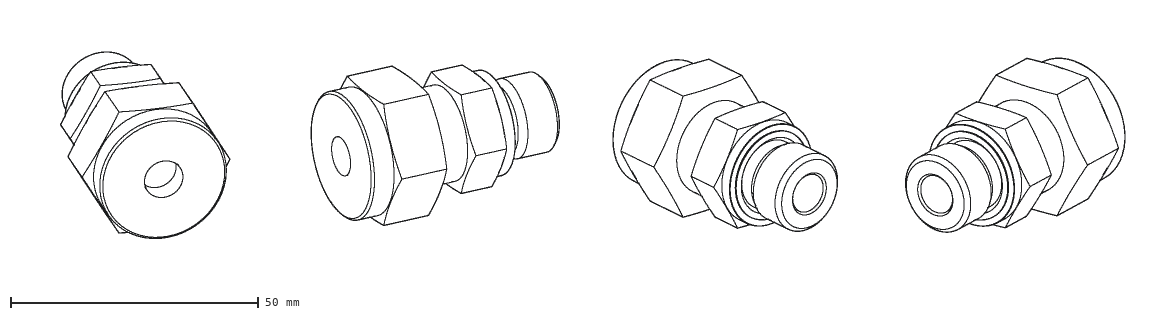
import cadquery as cq
import math


bore_radius = 4.05
bore_mouth_chamfer = 0.45

stud_radius = 8.33
stud_chamfer = 0.95
stud_length = 7.75
undercut_radius = 7.35
undercut_taper_angle = 30
undercut_taper_length = (stud_radius - undercut_radius) / math.tan(math.radians(undercut_taper_angle))

seal_face_x = 11.7
seal_face_radius = 9.5
seal_recess_depth = 0.8
collar_x = 12.0
collar_radius = 10.95
collar_edge_break = 0.1

body_hex_x = 14.5
body_hex_length = 8.0
body_hex_flats = 22.0
shank_x = body_hex_x + body_hex_length
shank_radius = 10.0

nut_end_x = 46.2
nut_x = 29.7
nut_hex_length = 11.5
nut_hex_end_x = nut_x + nut_hex_length
nut_hex_flats = 27.0
nut_rim_radius = 13.35
nut_rim_chamfer = 0.5

hex_chamfer_angle = 15


def cylinder_x(start_x, end_x, radius):
    """Solid cylinder on the X axis."""
    return cq.Workplane("YZ", origin=(start_x, 0, 0)).circle(radius).extrude(end_x - start_x)


def chamfered_hex(start_x, length, across_flats, face_radius):
    """Hexagon on the X axis with corners on +-Y, turned to a cone at both ends."""
    across_corners = across_flats / math.cos(math.pi / 6)
    corner_radius = across_corners / 2
    chamfer_depth = (corner_radius - face_radius) * math.tan(math.radians(hex_chamfer_angle))
    end_x = start_x + length
    prism = cq.Workplane("YZ", origin=(start_x, 0, 0)).polygon(6, across_corners).extrude(length)
    turned_envelope = (
        cq.Workplane("XY")
        .moveTo(start_x, 0)
        .lineTo(start_x, face_radius)
        .lineTo(start_x + chamfer_depth, corner_radius)
        .lineTo(end_x - chamfer_depth, corner_radius)
        .lineTo(end_x, face_radius)
        .lineTo(end_x, 0)
        .close()
        .revolve(360, (0, 0, 0), (1, 0, 0))
    )
    return prism.intersect(turned_envelope)


def make_body():
    """Stud, undercut, sealing collar, hexagon and shank with a through bore."""
    stud_and_collar = (
        cq.Workplane("XY")
        .lineTo(0, stud_radius - stud_chamfer)
        .lineTo(stud_chamfer, stud_radius)
        .lineTo(stud_length, stud_radius)
        .lineTo(stud_length + undercut_taper_length, undercut_radius)
        .lineTo(seal_face_x + seal_recess_depth, undercut_radius)
        .lineTo(seal_face_x, undercut_radius + seal_recess_depth)
        .lineTo(seal_face_x, seal_face_radius)
        .lineTo(collar_x, seal_face_radius)
        .lineTo(collar_x, collar_radius - collar_edge_break)
        .lineTo(collar_x + collar_edge_break, collar_radius)
        .lineTo(body_hex_x, collar_radius)
        .lineTo(body_hex_x, 0)
        .close()
        .revolve(360, (0, 0, 0), (1, 0, 0))
    )
    hexagon = chamfered_hex(body_hex_x, body_hex_length, body_hex_flats, collar_radius)
    shank = cylinder_x(shank_x, nut_hex_end_x, shank_radius)
    solid = stud_and_collar.union(hexagon).union(shank)
    bored = solid.cut(cylinder_x(0, nut_hex_end_x, bore_radius))
    bore_mouth = bored.faces("<X").edges(cq.selectors.RadiusNthSelector(0))
    return bore_mouth.chamfer(bore_mouth_chamfer)


def make_nut():
    """Hexagon and round rim, with a socket for the shank and an end wall with the bore."""
    hexagon = chamfered_hex(nut_x, nut_hex_length, nut_hex_flats, nut_rim_radius)
    rim = cylinder_x(nut_hex_end_x, nut_end_x, nut_rim_radius).faces(">X").chamfer(nut_rim_chamfer)
    socket = cylinder_x(nut_x, nut_hex_end_x, shank_radius)
    bore = cylinder_x(nut_hex_end_x, nut_end_x, bore_radius)
    return hexagon.union(rim).cut(socket).cut(bore)


body = make_body()
nut = make_nut()

result = cq.Compound.makeCompound([body.val(), nut.val()])